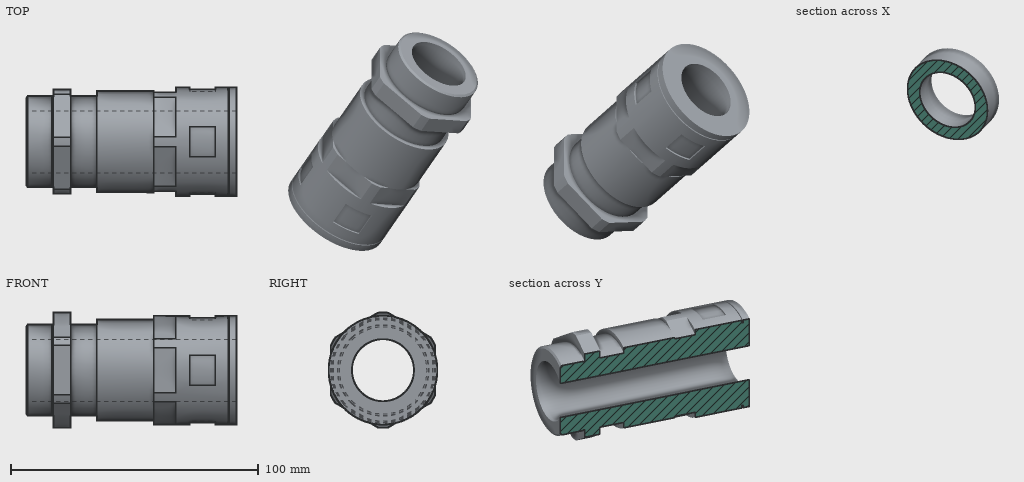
import cadquery as cq

length = 85.0
thread_end = 10.2
nut_start = 11.0
nut_end = 17.9
body_start = 28.5
hex_start = 51.4
hex_end = 60.4
window_start = 66.0
window_end = 76.4
groove_start = 81.5
groove_end = 81.9

bore_diameter = 25.0
thread_diameter = 37.0
relief_diameter = 36.55
body_diameter = 41.05
cap_diameter = 44.0
groove_diameter = 42.0
window_floor_diameter = 42.5
nut_corner_diameter = 46.75

nut_across_flats = 42.25
hex_across_flats = 40.0
window_width = 12.0
window_count = 4
chamfer_length = 0.6
chamfer_depth = 0.85


def cylinder(start, end, diameter):
    """Cylinder on the X axis between two X positions."""
    return cq.Workplane("YZ", origin=(start, 0, 0)).circle(diameter / 2).extrude(end - start)


def rounded_hexagon(start, end, across_flats, corner_diameter):
    """Hexagon with flats facing +Y and -Y, its corners turned down to a circle."""
    hexagon = (
        cq.Workplane("YZ", origin=(start, 0, 0))
        .polygon(6, across_flats, circumscribed=True)
        .extrude(end - start)
    )
    return hexagon.intersect(cylinder(start, end, corner_diameter))


def threaded_end():
    """Thread envelope with a tapered entry and a shallow relief at the nut."""
    radius = thread_diameter / 2
    relief_radius = relief_diameter / 2
    profile = [
        (0, 0),
        (0, radius - chamfer_depth),
        (chamfer_length, radius),
        (thread_end, radius),
        (thread_end, relief_radius),
        (nut_start, relief_radius),
        (nut_start, radius),
        (body_start, radius),
        (body_start, 0),
    ]
    return cq.Workplane("XY").polyline(profile).close().revolve(360, (0, 0, 0), (1, 0, 0))


def window_cutter(angle):
    """Shallow rectangular recess with a cylindrical floor, turned about the X axis."""
    window_length = window_end - window_start
    block = cq.Workplane("XY").box(window_length, window_width, cap_diameter, centered=(False, True, False))
    block = block.translate((window_start, 0, 0))
    block = block.cut(cylinder(window_start, window_end, window_floor_diameter))
    return block.rotate((0, 0, 0), (1, 0, 0), angle)


result = threaded_end()
result = result.union(rounded_hexagon(nut_start, nut_end, nut_across_flats, nut_corner_diameter))
result = result.union(cylinder(body_start, hex_start, body_diameter))
result = result.union(rounded_hexagon(hex_start, hex_end, hex_across_flats, cap_diameter))
result = result.union(cylinder(hex_end, length, cap_diameter))

groove = cylinder(groove_start, groove_end, cap_diameter)
result = result.cut(groove.cut(cylinder(groove_start, groove_end, groove_diameter)))

for index in range(window_count):
    result = result.cut(window_cutter(index * 360 / window_count))

result = result.cut(cylinder(0, length, bore_diameter))